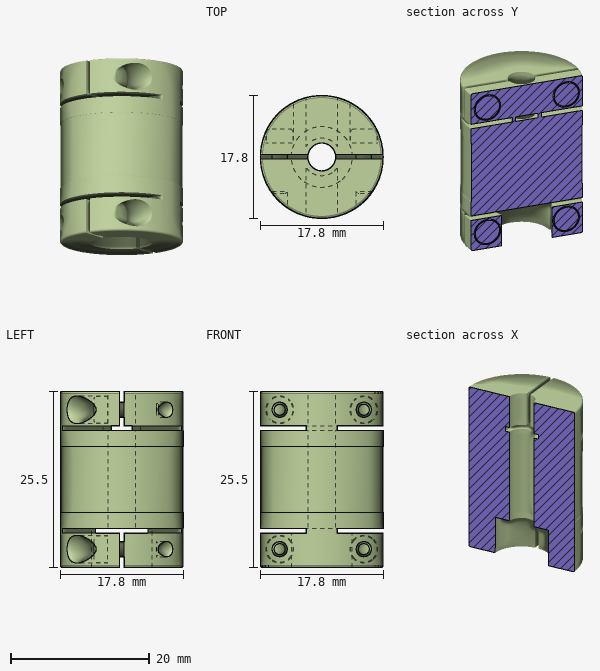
import cadquery as cq

length = 25.5
hub_diameter = 17.8
sleeve_diameter = 17.7
hub_length = 8.0
rim_fillet = 0.3
bore_diameter = 4.0

slot_width = 0.65
clamp_length = 5.0
web_width = 4.55
upper_relief_diameter = 5.45
lower_relief_diameter = 8.8

screw_offset_x = 6.08
screw_inset = 2.67
screw_diameter = 2.2
tip_chamfer = 0.3
tip_y = -5.3
head_diameter = 3.8
head_height = 2.0
head_top_y = 4.03
head_fillet = 0.4
head_hole_diameter = 4.0

hub_radius = hub_diameter / 2
half_length = length / 2
seat_y = head_top_y - head_height
cut_reach = hub_diameter


def cylinder_z(diameter, bottom, top):
    return cq.Workplane("XY").workplane(offset=bottom).circle(diameter / 2).extrude(top - bottom)


def cylinder_y(diameter, x, z, y_from, y_to):
    """Cylinder along Y between two Y positions."""
    base = cq.Workplane("XZ", origin=(x, y_from, z))
    return base.circle(diameter / 2).extrude(y_from - y_to)


def body():
    hubs = cylinder_z(hub_diameter, -half_length, half_length)
    hubs = hubs.faces("<Z or >Z").edges().fillet(rim_fillet)
    sleeve_half = half_length - hub_length
    sleeve_gap = cylinder_z(hub_diameter, -sleeve_half, sleeve_half)
    sleeve = cylinder_z(sleeve_diameter, -sleeve_half, sleeve_half)
    bore = cylinder_z(bore_diameter, -half_length, half_length)
    return hubs.cut(sleeve_gap).union(sleeve).cut(bore)


def clamp_cuts(end, relief_diameter):
    """Slit and cross slot of one hub; end is +1 for the top and -1 for the bottom."""
    slit_length = clamp_length + slot_width
    slit_z = end * (half_length - slit_length / 2)
    slit = cq.Workplane("XY").box(cut_reach, slot_width, slit_length).translate((0, 0, slit_z))

    slot_z = end * (half_length - clamp_length - slot_width / 2)
    cross_slot = cq.Workplane("XY").box(cut_reach, cut_reach, slot_width)
    webs = cq.Workplane("XY").box(web_width, cut_reach, slot_width)
    relief = cylinder_z(relief_diameter, -slot_width / 2, slot_width / 2)
    cross_slot = cross_slot.cut(webs).union(relief).translate((0, 0, slot_z))
    return slit.union(cross_slot)


def lower_bore():
    """Wide bore of the bottom hub, as wide as its relief, up to the cross slot."""
    return cylinder_z(lower_relief_diameter, -half_length, clamp_length - half_length)


def screw_holes(x, z):
    head_hole = cylinder_y(head_hole_diameter, x, z, seat_y, cut_reach)
    tapped_hole = cylinder_y(screw_diameter, x, z, -cut_reach, seat_y)
    return head_hole.union(tapped_hole)


def screw(x, z):
    shank = cylinder_y(screw_diameter, x, z, tip_y, seat_y).faces("<Y").chamfer(tip_chamfer)
    head = cylinder_y(head_diameter, x, z, seat_y, head_top_y).faces(">Y").edges().fillet(head_fillet)
    return shank.union(head)


result = body().cut(lower_bore())
for end, relief_diameter in ((1, upper_relief_diameter), (-1, lower_relief_diameter)):
    result = result.cut(clamp_cuts(end, relief_diameter))
    for side in (-1, 1):
        screw_x = side * screw_offset_x
        screw_z = end * (half_length - screw_inset)
        result = result.cut(screw_holes(screw_x, screw_z)).union(screw(screw_x, screw_z))